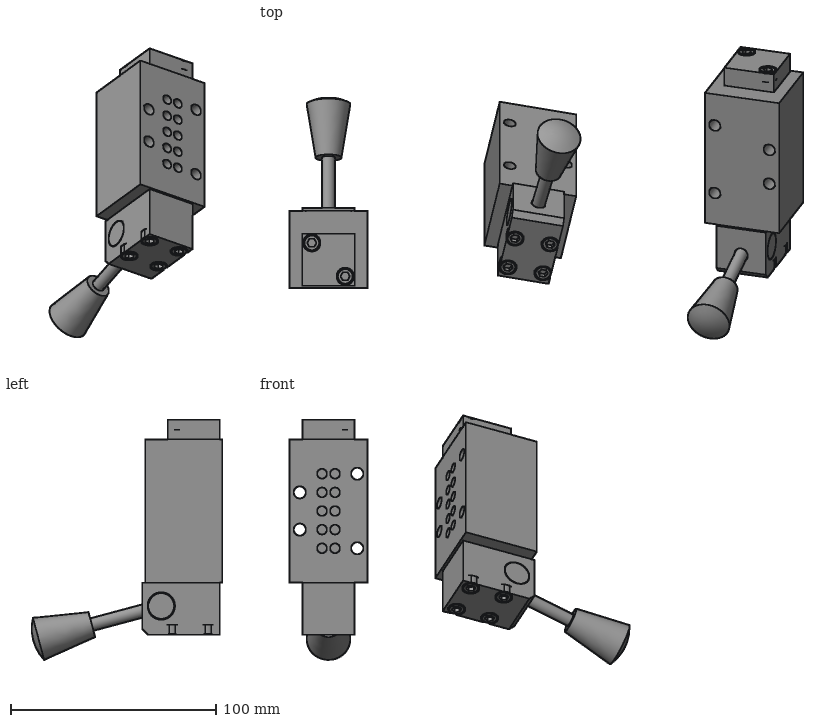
import cadquery as cq
import math


block_width = 38.1
block_depth = 37.6
block_height = 69.85

end_width = 25.4
end_setback = 1.2
cap_depth = 25.4
cap_height = 9.62
housing_depth = 37.9
housing_height = 25.4
housing_chamfer = 2.8

port_diameter = 4.76
port_depth = 12.7
port_columns = 2
port_rows = 5
port_pitch_x = 6.35
row_pitch = 9.08
port_center_z = block_height / 2
mount_diameter = 5.8
mount_offset_x = 14.0

counterbore_diameter = 8.45
head_diameter = 7.92
head_height = 4.83
head_chamfer = 0.4
socket_width = 3.97
socket_depth = 2.4
cap_screw_spacing = 16.3
housing_screw_spacing = 17.46
housing_screw_center_y = 15.65

lever_tilt = 15.0
pivot_y = 29.76
pivot_z = -11.35
drum_diameter = 12.7
rod_diameter = 6.35
lever_clearance = 0.25
knob_start = 35.0
knob_end = 61.9
knob_small_diameter = 12.7
knob_large_diameter = 21.4
knob_dome_rise = 2.75


def front_holes(points, diameter, depth):
    """Holes bored in the +Y direction from the porting face at (x, z) points."""
    return cq.Workplane("XZ").pushPoints(points).circle(diameter / 2).extrude(-depth)


def screw_void(x, y, face_z, direction):
    """Space around and inside a sunk screw head; direction is the Z sense the face looks (+1 or -1)."""
    face = cq.Plane(origin=(x, y, face_z), xDir=(1, 0, 0), normal=(0, 0, direction))
    head = cq.Workplane(face).circle(head_diameter / 2).extrude(-head_height)
    head = head.faces(cq.selectors.DirectionMinMaxSelector(face.zDir, True)).chamfer(head_chamfer)
    counterbore = cq.Workplane(face).circle(counterbore_diameter / 2).extrude(-head_height)
    socket_across_corners = socket_width / math.cos(math.pi / 6)
    socket = cq.Workplane(face).polygon(6, socket_across_corners).extrude(-socket_depth)
    return counterbore.cut(head).union(socket)


def make_main_block():
    block = cq.Workplane("XY").box(block_width, block_depth, block_height, centered=(True, False, False))
    ports = []
    for column in range(port_columns):
        for row in range(port_rows):
            x = (column - (port_columns - 1) / 2) * port_pitch_x
            z = port_center_z + (row - (port_rows - 1) / 2) * row_pitch
            ports.append((x, z))
    mounts = []
    for side in (-1, 1):
        mounts.append((mount_offset_x, port_center_z + side * 2 * row_pitch))
        mounts.append((-mount_offset_x, port_center_z + side * row_pitch))
    block = block.cut(front_holes(ports, port_diameter, port_depth))
    return block.cut(front_holes(mounts, mount_diameter, block_depth))


def make_cap():
    cap = (
        cq.Workplane("XY", origin=(0, end_setback, block_height))
        .box(end_width, cap_depth, cap_height, centered=(True, False, False))
    )
    center_y = end_setback + cap_depth / 2
    for side in (-1, 1):
        x = side * cap_screw_spacing / 2
        cap = cap.cut(screw_void(x, center_y - x, block_height + cap_height, 1))
    return cap


def lever_workplane():
    """Plane at the pivot whose normal runs out along the lever rod."""
    tilt = math.radians(lever_tilt)
    direction = (0, math.cos(tilt), -math.sin(tilt))
    return cq.Workplane(cq.Plane(origin=(0, pivot_y, pivot_z), xDir=(1, 0, 0), normal=direction))


def make_drum(diameter):
    """Cylinder across the housing, centred on the lever pivot."""
    return (
        cq.Workplane("YZ", origin=(0, pivot_y, pivot_z))
        .circle(diameter / 2)
        .extrude(end_width / 2, both=True)
    )


def make_rod(diameter):
    return lever_workplane().circle(diameter / 2).extrude(knob_start)


def make_housing():
    housing = (
        cq.Workplane("XY", origin=(0, end_setback, -housing_height))
        .box(end_width, housing_depth, housing_height, centered=(True, False, False))
        .edges(">Y and <Z")
        .chamfer(housing_chamfer)
    )
    for side_x in (-1, 1):
        for side_y in (-1, 1):
            x = side_x * housing_screw_spacing / 2
            y = housing_screw_center_y + side_y * housing_screw_spacing / 2
            housing = housing.cut(screw_void(x, y, -housing_height, -1))
    housing = housing.cut(make_drum(drum_diameter + 2 * lever_clearance))
    return housing.cut(make_rod(rod_diameter + 2 * lever_clearance))


def make_valve_body():
    return make_main_block().union(make_cap()).union(make_housing())


def make_knob():
    """Tapered grip with a domed end, revolved about the rod axis."""
    small_radius = knob_small_diameter / 2
    large_radius = knob_large_diameter / 2
    dome_radius = (large_radius**2 + knob_dome_rise**2) / (2 * knob_dome_rise)
    apex = knob_end + knob_dome_rise
    dome_center = apex - dome_radius
    half_angle = math.asin(large_radius / dome_radius) / 2
    dome_middle = (dome_radius * math.sin(half_angle), dome_center + dome_radius * math.cos(half_angle))
    axis_plane = cq.Plane(
        origin=(0, pivot_y, pivot_z),
        xDir=(1, 0, 0),
        normal=(0, math.sin(math.radians(lever_tilt)), math.cos(math.radians(lever_tilt))),
    )
    return (
        cq.Workplane(axis_plane)
        .moveTo(0, knob_start)
        .lineTo(small_radius, knob_start)
        .lineTo(large_radius, knob_end)
        .threePointArc(dome_middle, (0, apex))
        .close()
        .revolve(360, (0, 0), (0, 1))
    )


def make_lever():
    return make_drum(drum_diameter).union(make_rod(rod_diameter)).union(make_knob())


valve_body = make_valve_body()
lever = make_lever()
result = cq.Compound.makeCompound([valve_body.val(), lever.val()])